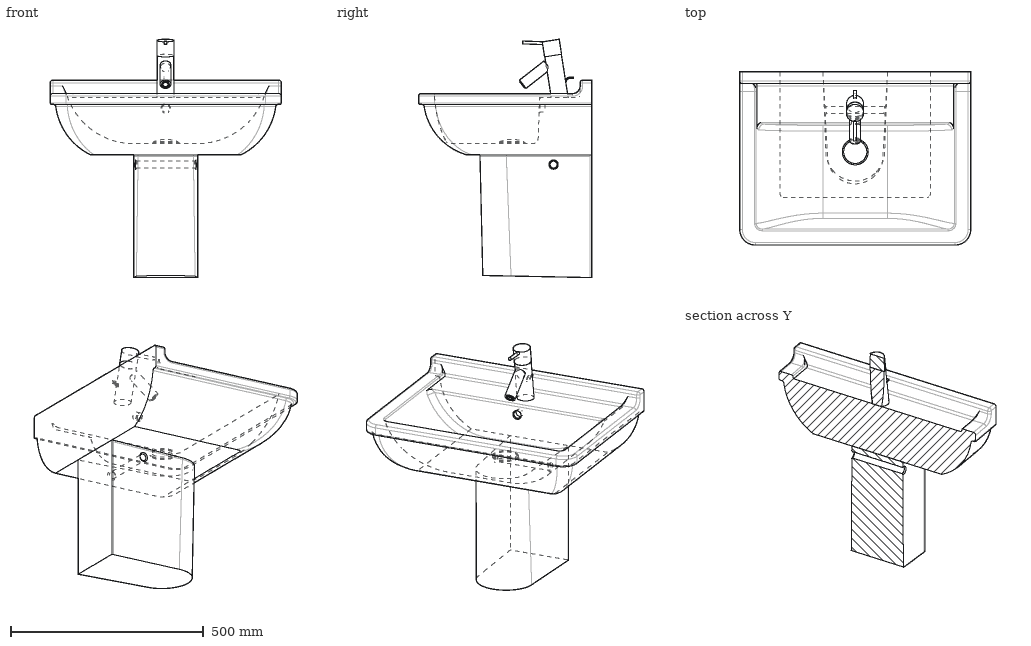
import cadquery as cq
import math

HALF_WIDTH = 300.1
DEPTH = 450.0
BASIN_BOTTOM = 319.0
RIM_BOTTOM = 449.5
RIM_TOP = 478.0
RIM_CORNER_RADIUS = 41.0
RIM_TOP_ROUND = 7.0
RIM_LOWER_ROUND = 4.5

BACKSPLASH_TOP = 513.0
BACKSPLASH_THICKNESS = 31.0
CHEEK_RADIUS = 20.0
CHEEK_GAP_DIP = 3.0
CHEEK_FLARE = 10.0

BODY_INSET = 13.5
BODY_CURVE_BOTTOM = 313.0
BODY_BOTTOM_HALF_WIDTH = 181.5
BODY_BOTTOM_FRONT = 288.5
BODY_SIDE_MID = (253.0, 365.5)
BODY_FRONT_MID = (408.0, 376.5)
BODY_CORNER_RADIUS = 30.0
BODY_NECK_RADIUS = 5.5

DECK_LEVEL = 468.0
DECK_BACK_FILLET = 6.0
INNER_HALF_WIDTH = 258.0
INNER_EDGE_ROUND = 4.5
BOWL_FLOOR = 348.0
BOWL_FLAT_HALF_WIDTH = 83.5
BOWL_BACK_TOP = 136.0
BOWL_BACK_BOTTOM = 140.0
BOWL_FRONT_TOP = 409.0
BOWL_FRONT_BOTTOM = 376.5
BOWL_FRONT_MID = (400.0, 412.0)
BOWL_FILLET = 15.0
DECK_EDGE_ROUND = 6.0
DECK_EDGE_ANGLE = 75.0
TOLERANCE = 0.3

OVERFLOW_HEIGHT = 440.0
OVERFLOW_DIAMETER = 20.0
OVERFLOW_CHAMFER = 2.5
OVERFLOW_DEPTH = 18.5

PEDESTAL_HALF_WIDTH = 83.5
PEDESTAL_BACK_STRIP = 5.0
PEDESTAL_TOP_BAND = 4.5
PEDESTAL_TOP_SECTION = (72.0, 222.5, 291.0)
PEDESTAL_BOTTOM_SECTION = (76.0, 210.0, 283.5)
PEDESTAL_FRONT_LIFT = 5.5
PEDESTAL_HOLE_FROM_WALL = 100.0
PEDESTAL_HOLE_HEIGHT = 293.5
PEDESTAL_HOLE_DIAMETER = 18.0
PEDESTAL_HOLE_CHAMFER = 3.0

TAP_TILT = 9.0
TAP_HEIGHT = 619.5
TAP_OFFSET = -0.5
TAP_TOP_FROM_WALL = 107.0
COLUMN_DIAMETER = 44.0
CAP_DIAMETER = 45.0
CAP_LENGTH = 39.5
SPOUT_DROP = 38.0
SPOUT_DIAMETER = 28.0
SPOUT_END_FROM_WALL = 179.5
SPOUT_END_HEIGHT = 502.5
SPOUT_REACH = 80.5
AERATOR_DIAMETER = 20.0
AERATOR_BORE = 15.0
AERATOR_LENGTH = 2.5
LEVER_DIAMETER = 8.0
LEVER_RISE = 2.0
LEVER_END_FROM_WALL = 180.0
LEVER_END_HEIGHT = 611.0

STRAP_WIDTH = 8.0
STRAP_THICKNESS = 4.0
STRAP_TIP_FROM_WALL = 48.5
STRAP_BEND_FROM_WALL = 57.0
STRAP_TOP = 521.0
STRAP_BEND_RADIUS = 13.5

PLUG_FROM_WALL = 208.0
PLUG_DIAMETER = 67.5
PLUG_CROWN_DIAMETER = 60.0
PLUG_EDGE_HEIGHT = 5.5
PLUG_DOME_HEIGHT = 5.5


def side_plane(x):
    """Sketch plane facing -X whose local axes are (-Y, Z); it extrudes towards -X."""
    return cq.Plane(origin=(x, 0, 0), xDir=(0, -1, 0), normal=(-1, 0, 0))


def tilted_cylinder(start, direction, diameter, length):
    plane = cq.Plane(origin=start, xDir=(1, 0, 0), normal=direction)
    return cq.Workplane(plane).circle(diameter / 2).extrude(length)


def near(value, target):
    return abs(value - target) < TOLERANCE


def is_outer_top_edge(edge):
    """True for the top edges along the sides, the rim front and the backsplash front."""
    mid = edge.positionAt(0.5)
    if mid.z < RIM_TOP - TOLERANCE:
        return False
    if mid.y < -DEPTH + RIM_CORNER_RADIUS:
        return True
    on_side = near(abs(mid.x), HALF_WIDTH) and mid.y < -TOLERANCE
    backsplash_front = near(mid.z, BACKSPLASH_TOP) and near(mid.y, -BACKSPLASH_THICKNESS)
    return on_side or backsplash_front


def make_rim_and_backsplash():
    """Rim slab and backsplash, joined by the concave cheek sweep."""
    slab = (
        cq.Workplane(side_plane(HALF_WIDTH))
        .moveTo(0, RIM_BOTTOM)
        .lineTo(0, BACKSPLASH_TOP)
        .lineTo(BACKSPLASH_THICKNESS, BACKSPLASH_TOP)
        .lineTo(BACKSPLASH_THICKNESS, RIM_TOP + CHEEK_RADIUS)
        .radiusArc((BACKSPLASH_THICKNESS + CHEEK_RADIUS, RIM_TOP), -CHEEK_RADIUS)
        .lineTo(DEPTH, RIM_TOP)
        .lineTo(DEPTH, RIM_BOTTOM)
        .close()
        .extrude(2 * HALF_WIDTH)
    )
    slab = slab.edges("|Z and <Y").fillet(RIM_CORNER_RADIUS)
    slab = slab.faces("<Z").edges("not(>Y)").fillet(RIM_LOWER_ROUND)
    top_edges = [edge for edge in slab.edges().vals() if is_outer_top_edge(edge)]
    return slab.newObject(top_edges).fillet(RIM_TOP_ROUND)


def make_body():
    """Curved underside: a side-to-side section crossed with a front-to-back one."""
    top_half_width = HALF_WIDTH - BODY_INSET
    top_front = DEPTH - BODY_INSET
    side_mid_x, side_mid_z = BODY_SIDE_MID
    across = (
        cq.Workplane("XZ")
        .moveTo(-BODY_BOTTOM_HALF_WIDTH, BODY_CURVE_BOTTOM)
        .lineTo(BODY_BOTTOM_HALF_WIDTH, BODY_CURVE_BOTTOM)
        .threePointArc((side_mid_x, side_mid_z), (top_half_width, RIM_BOTTOM))
        .lineTo(-top_half_width, RIM_BOTTOM)
        .threePointArc((-side_mid_x, side_mid_z), (-BODY_BOTTOM_HALF_WIDTH, BODY_CURVE_BOTTOM))
        .close()
        .extrude(DEPTH)
    )
    along = (
        cq.Workplane(side_plane(HALF_WIDTH))
        .moveTo(0, BODY_CURVE_BOTTOM)
        .lineTo(BODY_BOTTOM_FRONT, BODY_CURVE_BOTTOM)
        .threePointArc(BODY_FRONT_MID, (top_front, RIM_BOTTOM))
        .lineTo(0, RIM_BOTTOM)
        .close()
        .extrude(2 * HALF_WIDTH)
    )
    body = across.intersect(along)
    front_corners = cq.selectors.BoxSelector(
        (-HALF_WIDTH, -DEPTH, BODY_CURVE_BOTTOM + TOLERANCE),
        (HALF_WIDTH, -BODY_BOTTOM_FRONT - TOLERANCE, RIM_BOTTOM - TOLERANCE),
    )
    body = body.edges(front_corners).fillet(BODY_CORNER_RADIUS)
    below_bottom = (
        cq.Workplane("XY", origin=(0, 0, BASIN_BOTTOM))
        .rect(2 * HALF_WIDTH, 2 * DEPTH)
        .extrude(BODY_CURVE_BOTTOM - BASIN_BOTTOM)
    )
    return body.cut(below_bottom)


def make_bowl_section():
    """Side-to-side section of the bowl, run the full depth: flat floor and two arcs."""
    rise = RIM_TOP - BOWL_FLOOR
    run = INNER_HALF_WIDTH - BOWL_FLAT_HALF_WIDTH
    side_radius = (run ** 2 + rise ** 2) / (2 * rise)
    return (
        cq.Workplane("XZ")
        .moveTo(-BOWL_FLAT_HALF_WIDTH, BOWL_FLOOR)
        .lineTo(BOWL_FLAT_HALF_WIDTH, BOWL_FLOOR)
        .radiusArc((INNER_HALF_WIDTH, RIM_TOP), -side_radius)
        .lineTo(-INNER_HALF_WIDTH, RIM_TOP)
        .radiusArc((-BOWL_FLAT_HALF_WIDTH, BOWL_FLOOR), -side_radius)
        .close()
        .extrude(DEPTH)
    )


def is_deck_back_edge(edge):
    mid = edge.positionAt(0.5)
    return near(mid.z, DECK_LEVEL) and near(mid.y, -BACKSPLASH_THICKNESS)


def make_bowl_and_deck_space():
    """Bowl section cut off by the front wall and backsplash, stepping up to the deck.

    The back wall of the bowl flares out at its top and so rounds over the deck edge.
    """
    flare_angle = math.radians(DECK_EDGE_ANGLE)
    flare_start = DECK_LEVEL - DECK_EDGE_ROUND * math.sin(flare_angle)
    deck_edge = BOWL_BACK_TOP - DECK_EDGE_ROUND * (1 - math.cos(flare_angle))
    along = (
        cq.Workplane(side_plane(HALF_WIDTH))
        .moveTo(BOWL_BACK_BOTTOM, BOWL_FLOOR)
        .lineTo(BOWL_FRONT_BOTTOM, BOWL_FLOOR)
        .threePointArc(BOWL_FRONT_MID, (BOWL_FRONT_TOP, RIM_TOP))
        .lineTo(BACKSPLASH_THICKNESS, RIM_TOP)
        .lineTo(BACKSPLASH_THICKNESS, DECK_LEVEL)
        .lineTo(deck_edge, DECK_LEVEL)
        .radiusArc((BOWL_BACK_TOP, flare_start), DECK_EDGE_ROUND)
        .close()
        .extrude(2 * HALF_WIDTH)
    )
    space = make_bowl_section().intersect(along)
    wall_edges = []
    for edge in space.edges("not(|Y)").vals():
        height = edge.positionAt(0.5).z
        is_floor_edge = near(height, BOWL_FLOOR)
        is_curved_edge = edge.geomType() != "LINE" and height < DECK_LEVEL
        if is_floor_edge or is_curved_edge:
            wall_edges.append(edge)
    space = space.newObject(wall_edges).fillet(BOWL_FILLET)
    deck_back = [edge for edge in space.edges("|X").vals() if is_deck_back_edge(edge)]
    return space.newObject(deck_back).fillet(DECK_BACK_FILLET)


def make_cheek_gap():
    """Space between the two cheeks; it dips into the deck recess below it."""
    return (
        cq.Workplane("XZ", origin=(0, -BACKSPLASH_THICKNESS, 0))
        .moveTo(-INNER_HALF_WIDTH, RIM_TOP)
        .lineTo(-INNER_HALF_WIDTH + CHEEK_FLARE, RIM_TOP - CHEEK_GAP_DIP)
        .lineTo(INNER_HALF_WIDTH - CHEEK_FLARE, RIM_TOP - CHEEK_GAP_DIP)
        .lineTo(INNER_HALF_WIDTH, RIM_TOP)
        .lineTo(INNER_HALF_WIDTH + CHEEK_FLARE, RIM_TOP + CHEEK_RADIUS)
        .lineTo(-INNER_HALF_WIDTH - CHEEK_FLARE, RIM_TOP + CHEEK_RADIUS)
        .close()
        .extrude(2 * CHEEK_RADIUS)
    )


def is_inner_rim_edge(edge):
    mid = edge.positionAt(0.5)
    behind_front = -BOWL_FRONT_TOP - TOLERANCE < mid.y < -BACKSPLASH_THICKNESS - CHEEK_RADIUS
    return near(mid.z, RIM_TOP) and abs(mid.x) < INNER_HALF_WIDTH + TOLERANCE and behind_front


def make_overflow_space():
    """Chamfered blind hole in the back wall of the bowl."""
    start = (0, -BOWL_BACK_BOTTOM, OVERFLOW_HEIGHT)
    hole = tilted_cylinder(start, (0, 1, 0), OVERFLOW_DIAMETER, OVERFLOW_DEPTH)
    wall_slope = (BOWL_BACK_BOTTOM - BOWL_BACK_TOP) / (RIM_TOP - BOWL_FLOOR)
    wall_y = -BOWL_BACK_TOP - wall_slope * (RIM_TOP - OVERFLOW_HEIGHT)
    chamfer = cq.Solid.makeCone(
        OVERFLOW_DIAMETER / 2 + OVERFLOW_CHAMFER,
        OVERFLOW_DIAMETER / 2,
        OVERFLOW_CHAMFER,
        pnt=cq.Vector(0, wall_y, OVERFLOW_HEIGHT),
        dir=cq.Vector(0, 1, 0),
    )
    return hole.union(cq.Workplane(chamfer))


def make_basin():
    basin = make_rim_and_backsplash().union(make_body())
    neck = cq.selectors.BoxSelector(
        (-HALF_WIDTH + 6, -DEPTH + 6, RIM_BOTTOM - TOLERANCE),
        (HALF_WIDTH - 6, -TOLERANCE, RIM_BOTTOM + TOLERANCE),
    )
    basin = basin.edges(neck).fillet(BODY_NECK_RADIUS)
    basin = basin.cut(make_bowl_and_deck_space().union(make_cheek_gap()))
    rim_edges = [edge for edge in basin.edges().vals() if is_inner_rim_edge(edge)]
    basin = basin.newObject(rim_edges).fillet(INNER_EDGE_ROUND)
    return basin.cut(make_overflow_space())


def pedestal_section(height, section):
    """Straight sides drawing in towards a round nose."""
    nose_half_width, nose_start, nose_tip = section
    return (
        cq.Workplane("XY", origin=(0, 0, height))
        .moveTo(-PEDESTAL_HALF_WIDTH, 0)
        .lineTo(-PEDESTAL_HALF_WIDTH, -PEDESTAL_BACK_STRIP)
        .lineTo(-nose_half_width, -nose_start)
        .threePointArc((0, -nose_tip), (nose_half_width, -nose_start))
        .lineTo(PEDESTAL_HALF_WIDTH, -PEDESTAL_BACK_STRIP)
        .lineTo(PEDESTAL_HALF_WIDTH, 0)
        .close()
    )


def make_pedestal():
    band_bottom = BASIN_BOTTOM - PEDESTAL_TOP_BAND
    band = pedestal_section(band_bottom, PEDESTAL_TOP_SECTION).extrude(PEDESTAL_TOP_BAND)
    bottom_wire = pedestal_section(0, PEDESTAL_BOTTOM_SECTION).val()
    top_wire = pedestal_section(band_bottom, PEDESTAL_TOP_SECTION).val()
    column = cq.Workplane(cq.Solid.makeLoft([bottom_wire, top_wire], True))

    nose_tip = PEDESTAL_BOTTOM_SECTION[2] + PEDESTAL_FRONT_LIFT
    under_wedge = (
        cq.Workplane(side_plane(HALF_WIDTH))
        .polyline([(0, 0), (nose_tip, 0), (nose_tip, PEDESTAL_FRONT_LIFT)])
        .close()
        .extrude(2 * HALF_WIDTH)
    )
    pedestal = column.union(band).cut(under_wedge)

    side_hole = (
        cq.Workplane(side_plane(HALF_WIDTH))
        .center(PEDESTAL_HOLE_FROM_WALL, PEDESTAL_HOLE_HEIGHT)
        .circle(PEDESTAL_HOLE_DIAMETER / 2)
        .extrude(2 * HALF_WIDTH)
    )
    pedestal = pedestal.cut(side_hole)
    rims = cq.selectors.BoxSelector(
        (-HALF_WIDTH, -PEDESTAL_HOLE_FROM_WALL - 6, PEDESTAL_HOLE_HEIGHT - 6),
        (HALF_WIDTH, -PEDESTAL_HOLE_FROM_WALL + 6, PEDESTAL_HOLE_HEIGHT + 6),
    )
    return pedestal.edges(rims).edges("not(|X)").chamfer(PEDESTAL_HOLE_CHAMFER)


TILT = math.radians(TAP_TILT)
TAP_UP = cq.Vector(0, -math.sin(TILT), math.cos(TILT))
TAP_TOP = cq.Vector(TAP_OFFSET, -TAP_TOP_FROM_WALL, TAP_HEIGHT - CAP_DIAMETER / 2 * math.sin(TILT))
CAP_BASE = TAP_TOP - TAP_UP * CAP_LENGTH


def make_cap():
    return tilted_cylinder(CAP_BASE, TAP_UP, CAP_DIAMETER, CAP_LENGTH)


def make_column():
    """Tilted column, trimmed flat where it stands on the deck."""
    length = CAP_BASE.z - DECK_LEVEL + COLUMN_DIAMETER
    column = tilted_cylinder(CAP_BASE, TAP_UP * -1, COLUMN_DIAMETER, length)
    below_deck = (
        cq.Workplane("XY", origin=(0, 0, DECK_LEVEL))
        .rect(2 * HALF_WIDTH, 2 * DEPTH)
        .extrude(BASIN_BOTTOM - DECK_LEVEL)
    )
    return column.cut(below_deck)


SPOUT_ANGLE = math.radians(SPOUT_DROP)
SPOUT_OUT = cq.Vector(0, -math.cos(SPOUT_ANGLE), -math.sin(SPOUT_ANGLE))
SPOUT_END = cq.Vector(TAP_OFFSET, -SPOUT_END_FROM_WALL, SPOUT_END_HEIGHT)


def make_spout(column):
    """Inclined tube shaped to the column wall."""
    spout = tilted_cylinder(SPOUT_END, SPOUT_OUT * -1, SPOUT_DIAMETER, SPOUT_REACH)
    return spout.cut(column).solids("<Y")


def make_aerator():
    """Ring on the spout outlet."""
    ring = tilted_cylinder(SPOUT_END, SPOUT_OUT, AERATOR_DIAMETER, AERATOR_LENGTH)
    return ring.cut(tilted_cylinder(SPOUT_END, SPOUT_OUT, AERATOR_BORE, AERATOR_LENGTH))


def make_lever(cap):
    """Thin rod whose inner end meets the cap wall."""
    rise = math.radians(LEVER_RISE)
    inward = cq.Vector(0, math.cos(rise), -math.sin(rise))
    end = cq.Vector(TAP_OFFSET, -LEVER_END_FROM_WALL, LEVER_END_HEIGHT)
    length = LEVER_END_FROM_WALL - TAP_TOP_FROM_WALL
    lever = tilted_cylinder(end, inward, LEVER_DIAMETER, length)
    return lever.cut(cap).solids("<Y")


def make_strap(column):
    """Flat strap that bends down into the back of the column."""
    underside = STRAP_TOP - STRAP_THICKNESS
    inner_radius = STRAP_BEND_RADIUS - STRAP_THICKNESS
    strap = (
        cq.Workplane(side_plane(TAP_OFFSET + STRAP_WIDTH / 2))
        .moveTo(STRAP_TIP_FROM_WALL, STRAP_TOP)
        .lineTo(STRAP_BEND_FROM_WALL, STRAP_TOP)
        .radiusArc(
            (STRAP_BEND_FROM_WALL + STRAP_BEND_RADIUS, STRAP_TOP - STRAP_BEND_RADIUS),
            STRAP_BEND_RADIUS,
        )
        .lineTo(STRAP_BEND_FROM_WALL + inner_radius, STRAP_TOP - STRAP_BEND_RADIUS)
        .radiusArc((STRAP_BEND_FROM_WALL, underside), -inner_radius)
        .lineTo(STRAP_TIP_FROM_WALL, underside)
        .close()
        .extrude(STRAP_WIDTH)
    )
    return strap.cut(column).solids(">Y")


def make_plug():
    """Round plug on the bowl floor: tapered edge under a shallow dome."""
    crown_radius = PLUG_CROWN_DIAMETER / 2
    dome_radius = (crown_radius ** 2 + PLUG_DOME_HEIGHT ** 2) / (2 * PLUG_DOME_HEIGHT)
    return (
        cq.Workplane("XZ", origin=(0, -PLUG_FROM_WALL, BOWL_FLOOR))
        .lineTo(PLUG_DIAMETER / 2, 0)
        .lineTo(PLUG_DIAMETER / 2, PLUG_EDGE_HEIGHT / 2)
        .lineTo(crown_radius, PLUG_EDGE_HEIGHT)
        .radiusArc((0, PLUG_EDGE_HEIGHT + PLUG_DOME_HEIGHT), -dome_radius)
        .close()
        .revolve(360, (0, 0, 0), (0, 1, 0))
    )


basin = make_basin()
pedestal = make_pedestal()
cap = make_cap()
column = make_column()
spout = make_spout(column)
aerator = make_aerator()
lever = make_lever(cap)
strap = make_strap(column)
plug = make_plug()

bodies = [basin, pedestal, column, cap, lever, spout, aerator, strap, plug]
result = cq.Compound.makeCompound([body.solids().val() for body in bodies])